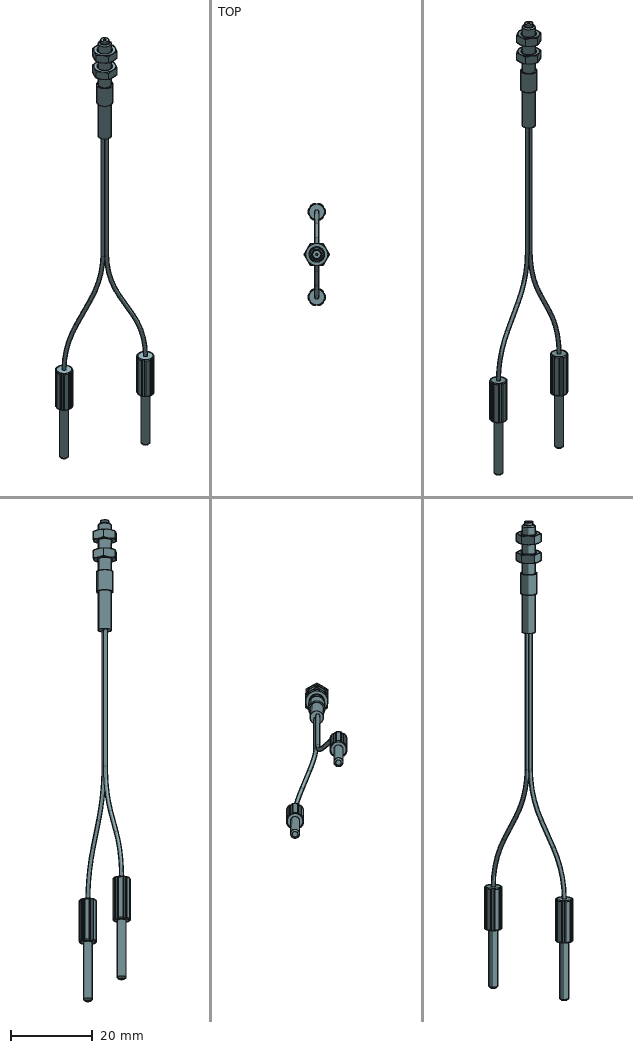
import cadquery as cq
import math

total_height = 119.87

tip_diameter = 2.0
tip_length = 0.7
tip_hole_diameter = 0.5
tip_hole_depth = 0.5
body_diameter = 3.2
body_chamfer = 0.35
nut_sides = 6
nut_corner_diameter = 6.24
nut_height = 2.2
nut_across_flats = nut_corner_diameter * math.cos(math.pi / nut_sides)
nut_chamfer_angle = 25.0
nut_countersink_diameter = 3.8
nut_depths = (2.9, 7.7)
collar_diameter = 4.0
collar_depth = 13.0
collar_length = 5.15
sleeve_diameter = 3.3
sleeve_length = 9.8

fibre_diameter = 1.0
fibre_pitch = 0.98
fork_z = 57.0
bend_radius = 25.7

branch_y = 10.45
rod_diameter = 2.25
rod_length = 14.95
rod_chamfer = 0.45
ferrule_diameter = 4.3
ferrule_length = 10.8
ferrule_across_flats = 4.14
ferrule_chamfer = 0.25
ferrule_flats = 6
flute_width = 0.5
flute_depth = 0.12


def cylinder(diameter, bottom_z, height):
    return cq.Workplane("XY").workplane(offset=bottom_z).circle(diameter / 2).extrude(height)


def make_nut(bottom_z):
    """Hex nut with conically chamfered corners and a countersink at both ends of its bore."""
    corner_radius = nut_corner_diameter / 2
    corner_width = (nut_corner_diameter - nut_across_flats) / 2
    corner_drop = corner_width * math.tan(math.radians(nut_chamfer_angle))
    countersink = (nut_countersink_diameter - body_diameter) / 2
    turned = (
        cq.Workplane("XY")
        .circle(corner_radius)
        .extrude(nut_height)
        .faces("<Z or >Z")
        .chamfer(corner_drop, corner_width)
    )
    nut = (
        cq.Workplane("XY")
        .polygon(nut_sides, nut_corner_diameter)
        .extrude(nut_height)
        .intersect(turned)
        .cut(cylinder(body_diameter, 0, nut_height))
    )
    bore_rims = nut.faces("<Z or >Z").edges("%CIRCLE").edges(cq.selectors.RadiusNthSelector(0))
    return bore_rims.chamfer(countersink).translate((0, 0, bottom_z))


def make_head():
    """Stepped body with an end tip, two hex nuts, a collar and a cable sleeve."""
    body_top = total_height - tip_length
    collar_top = total_height - collar_depth
    collar_bottom = collar_top - collar_length
    head = cylinder(body_diameter, collar_top, body_top - collar_top)
    head = head.faces(">Z").chamfer(body_chamfer)
    head = head.union(cylinder(tip_diameter, collar_top, collar_depth))
    head = head.union(cylinder(collar_diameter, collar_bottom, collar_length))
    head = head.union(cylinder(sleeve_diameter, collar_bottom - sleeve_length, sleeve_length))
    for depth in nut_depths:
        head = head.union(make_nut(total_height - depth - nut_height))
    return head.faces(">Z").workplane().hole(tip_hole_diameter, tip_hole_depth)


def make_fibre(ferrule_top, head_bottom):
    """One fibre: straight below the head, then an S-bend out to the ferrule axis."""
    start_y = fibre_pitch / 2
    shift = branch_y - start_y
    drop = fork_z - ferrule_top
    straight = math.sqrt(shift**2 + drop**2 - 4 * bend_radius * shift)
    angle = math.atan2(drop, 2 * bend_radius - shift) - math.atan2(straight, 2 * bend_radius)

    def arc_offset(turn):
        return bend_radius * (1 - math.cos(turn)), bend_radius * math.sin(turn)

    mid_y, mid_z = arc_offset(angle / 2)
    end_y, end_z = arc_offset(angle)
    path = (
        cq.Workplane("YZ")
        .moveTo(start_y, head_bottom)
        .lineTo(start_y, fork_z)
        .threePointArc((start_y + mid_y, fork_z - mid_z), (start_y + end_y, fork_z - end_z))
        .lineTo(branch_y - end_y, ferrule_top + end_z)
        .threePointArc((branch_y - mid_y, ferrule_top + mid_z), (branch_y, ferrule_top))
    )
    profile = cq.Workplane("XY", origin=(0, start_y, head_bottom)).circle(fibre_diameter / 2)
    return profile.sweep(path)


def make_branch_end():
    """Rounded-corner hexagonal ferrule with a shallow flute in each flat, and the rod below it."""
    ferrule = cylinder(ferrule_diameter, rod_length, ferrule_length)
    ferrule = ferrule.faces("<Z or >Z").chamfer(ferrule_chamfer)
    hexagon = (
        cq.Workplane("XY")
        .workplane(offset=rod_length)
        .polygon(ferrule_flats, ferrule_across_flats / math.cos(math.pi / ferrule_flats))
        .extrude(ferrule_length)
    )
    ferrule = ferrule.intersect(hexagon)
    for index in range(ferrule_flats):
        flute = (
            cq.Workplane("XY", origin=(0, ferrule_across_flats / 2, rod_length))
            .rect(flute_width, 2 * flute_depth)
            .extrude(ferrule_length)
            .rotate((0, 0, 0), (0, 0, 1), index * 360 / ferrule_flats)
        )
        ferrule = ferrule.cut(flute)
    rod = cylinder(rod_diameter, 0, rod_length).faces("<Z").chamfer(rod_chamfer)
    return ferrule.union(rod).translate((0, branch_y, 0))


head_bottom = total_height - collar_depth - collar_length - sleeve_length
branch = make_fibre(rod_length + ferrule_length, head_bottom).union(make_branch_end())
result = make_head().union(branch).union(branch.mirror("XZ"))